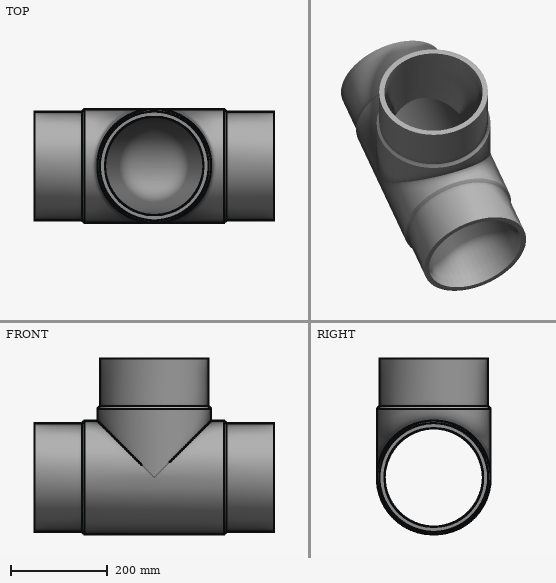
import cadquery as cq

run_length = 496.0
overall_height = 364.0

bore_diameter = 203.5
spigot_diameter = 225.0
body_diameter = 235.5

spigot_length = 98.0

taper_height = (body_diameter - spigot_diameter) / 2
taper_length = 6.0

run_half_length = run_length / 2
branch_length = overall_height - body_diameter / 2


def limb(direction, length):
    """Solid stepped limb from the centre of the tee to one open end."""
    plane = cq.Plane(origin=(0, 0, 0), xDir=(0, 1, 0), normal=direction)
    body_length = length - spigot_length
    spigot = cq.Workplane(plane).circle(spigot_diameter / 2).extrude(length)
    body = (
        cq.Workplane(plane)
        .circle(body_diameter / 2)
        .extrude(body_length)
        .faces(cq.selectors.DirectionMinMaxSelector(cq.Vector(*direction)))
        .chamfer(taper_length, taper_height)
    )
    return body.union(spigot)


def bore(direction, length):
    """Bore from the centre of the tee to one open end."""
    plane = cq.Plane(origin=(0, 0, 0), xDir=(0, 1, 0), normal=direction)
    return cq.Workplane(plane).circle(bore_diameter / 2).extrude(length)


limbs = [
    ((-1, 0, 0), run_half_length),
    ((1, 0, 0), run_half_length),
    ((0, 0, 1), branch_length),
]

result = cq.Workplane("XY")
for direction, length in limbs:
    result = result.union(limb(direction, length))
for direction, length in limbs:
    result = result.cut(bore(direction, length))